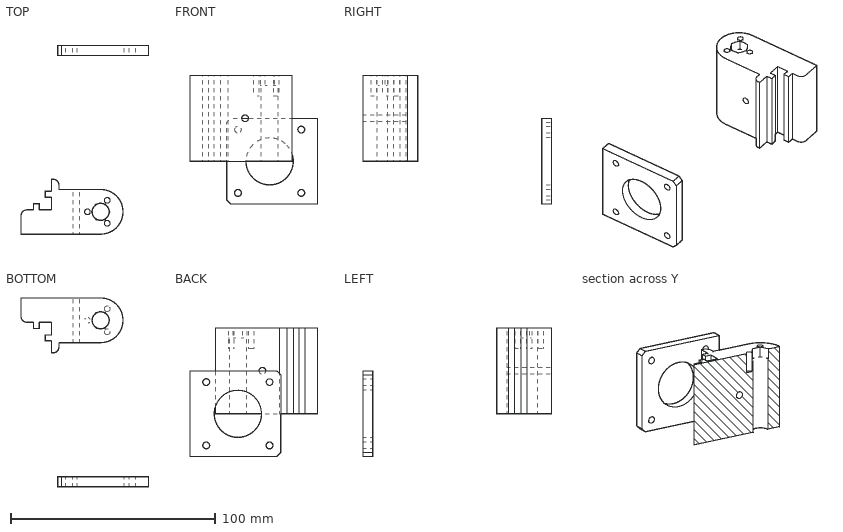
import cadquery as cq
import math

plate_left = 18.0
plate_width = 44.5
plate_height = 42.0
plate_thickness = 5.0
plate_chamfer = 1.9
plate_back = 92.5
plate_bore_diameter = 23.0
screw_diameter = 3.2
screw_spacing = 31.0

housing_height = plate_height
housing_bottom = plate_height / 2
nose_diameter = 22.0
nose_radius = nose_diameter / 2
axis_x = plate_left + plate_height / 2
axis_y = nose_radius
corner_radius = 3.0
shelf_y = 12.0
wall_x = 15.0
post_width = 3.7
post_top = 27.0
rib_width = 3.0
rib_projection = 3.05
shelf_rib_left = 6.1
wall_rib_bottom = 18.1

bore_diameter = 8.2
hex_corner_diameter = 9.1
hex_depth = 5.0
pilot_diameter = 2.8
pilot_circle_radius = 6.5
pilot_depth = 10.0
pilot_count = 3

cross_hole_offset = 12.0


def make_plate():
    """Flat plate with chamfered left corners and a bore concentric with the nose axis."""
    plate = cq.Workplane("XY").box(
        plate_width, plate_thickness, plate_height, centered=False
    ).translate((plate_left, plate_back - plate_thickness, 0))
    plate = plate.edges("|Y and <X").chamfer(plate_chamfer)
    bore_face = cq.Workplane("XZ", origin=(axis_x, plate_back, plate_height / 2))
    bore = bore_face.circle(plate_bore_diameter / 2).extrude(plate_thickness)
    screws = (
        bore_face.rect(screw_spacing, screw_spacing, forConstruction=True)
        .vertices()
        .circle(screw_diameter / 2)
        .extrude(plate_thickness)
    )
    return plate.cut(bore).cut(screws)


def housing_profile():
    """Stepped outline with a round nose, two locating ribs and a rounded post."""
    post_right = wall_x + post_width
    shelf_rib_right = shelf_rib_left + rib_width
    wall_rib_top = wall_rib_bottom + rib_width
    diagonal = corner_radius * math.sqrt(0.5)
    shelf_arc_x = corner_radius
    shelf_arc_y = shelf_y - corner_radius
    post_arc_x = post_right - corner_radius
    post_arc_y = post_top - corner_radius
    return (
        cq.Workplane("XY", origin=(0, 0, housing_bottom))
        .moveTo(0, 0)
        .lineTo(axis_x, 0)
        .threePointArc((axis_x + nose_radius, axis_y), (axis_x, nose_diameter))
        .lineTo(post_right, nose_diameter)
        .lineTo(post_right, post_arc_y)
        .threePointArc((post_arc_x + diagonal, post_arc_y + diagonal), (post_arc_x, post_top))
        .lineTo(wall_x, post_top)
        .lineTo(wall_x, wall_rib_top)
        .lineTo(wall_x - rib_projection, wall_rib_top)
        .lineTo(wall_x - rib_projection, wall_rib_bottom)
        .lineTo(wall_x, wall_rib_bottom)
        .lineTo(wall_x, shelf_y)
        .lineTo(shelf_rib_right, shelf_y)
        .lineTo(shelf_rib_right, shelf_y + rib_projection)
        .lineTo(shelf_rib_left, shelf_y + rib_projection)
        .lineTo(shelf_rib_left, shelf_y)
        .lineTo(shelf_arc_x, shelf_y)
        .threePointArc((shelf_arc_x - diagonal, shelf_arc_y + diagonal), (0, shelf_arc_y))
        .close()
    )


def nose_bore():
    """Round through bore with shallow hexagonal corners cut into its upper end."""
    base = cq.Workplane("XY", origin=(axis_x, axis_y, housing_bottom))
    round_bore = base.circle(bore_diameter / 2).extrude(housing_height)
    top = base.workplane(offset=housing_height)
    hex_pocket = top.polygon(6, hex_corner_diameter).extrude(-hex_depth)
    return round_bore.union(hex_pocket)


def pilot_holes():
    """Blind holes in the top face, evenly spaced round the bore."""
    top = cq.Workplane("XY", origin=(axis_x, axis_y, housing_bottom + housing_height))
    return (
        top.polarArray(pilot_circle_radius, 180, 360, pilot_count)
        .circle(pilot_diameter / 2)
        .extrude(-pilot_depth)
    )


def cross_hole():
    """Screw hole through the housing from front to back."""
    center_z = housing_bottom + housing_height / 2
    front = cq.Workplane("XZ", origin=(axis_x - cross_hole_offset, 0, center_z))
    return front.circle(screw_diameter / 2).extrude(-nose_diameter)


def make_housing():
    housing = housing_profile().extrude(housing_height)
    return housing.cut(nose_bore()).cut(pilot_holes()).cut(cross_hole())


plate = make_plate()
housing = make_housing()
result = cq.Compound.makeCompound([plate.val(), housing.val()])